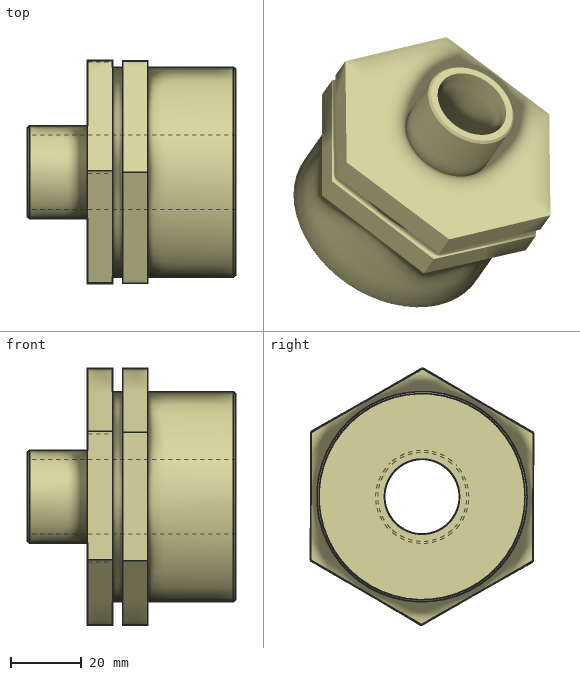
import cadquery as cq

total_length = 59.0
hex_corner_diameter = 72.75
hex_thickness = 7.1
hex_gap = 2.85
front_hex_turn = -0.6
rear_hex_turn = 0.0
spigot_diameter = 26.4
spigot_length = 17.0
body_diameter = 59.6
bore_diameter = 21.2
chamfer_length = 0.7
chamfer_depth = 0.6

front_hex_start = spigot_length
rear_hex_start = front_hex_start + hex_thickness + hex_gap


def chamfered_barrel(diameter, length):
    radius = diameter / 2
    half_section = [
        (0, 0),
        (0, radius),
        (length - chamfer_length, radius),
        (length, radius - chamfer_depth),
        (length, 0),
    ]
    return cq.Workplane("XY").polyline(half_section).close().revolve(360, (0, 0, 0), (1, 0, 0))


def hex_flange(start, turn):
    blank = cq.Workplane("YZ").polygon(6, hex_corner_diameter).extrude(hex_thickness)
    return blank.rotate((0, 0, 0), (1, 0, 0), 90 + turn).translate((start, 0, 0))


spigot = chamfered_barrel(spigot_diameter, front_hex_start)
spigot = spigot.mirror("YZ").translate((front_hex_start, 0, 0))
body = chamfered_barrel(body_diameter, total_length - front_hex_start)
body = body.translate((front_hex_start, 0, 0))
bore = cq.Workplane("YZ").circle(bore_diameter / 2).extrude(total_length)

result = (
    spigot.union(body)
    .union(hex_flange(front_hex_start, front_hex_turn))
    .union(hex_flange(rear_hex_start, rear_hex_turn))
    .cut(bore)
)